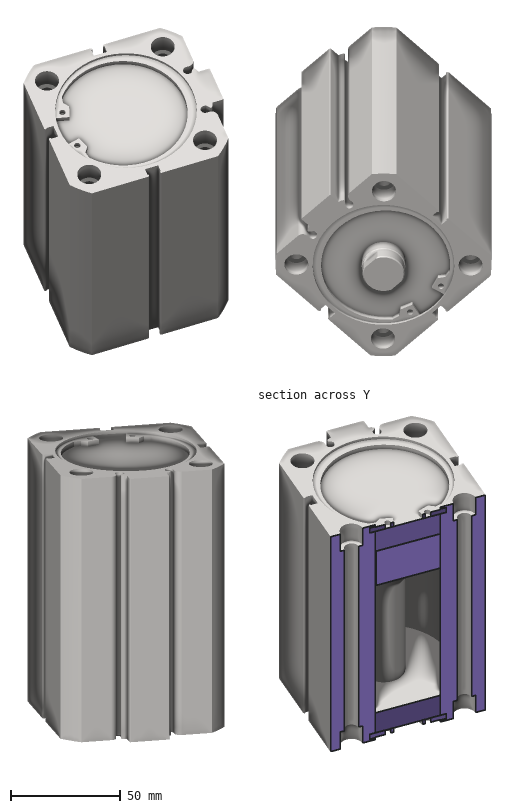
import cadquery as cq
import math


BODY_SIZE = 77.5
BODY_LENGTH = 126.0
CORNER_DIAMETER = 99.0
FACE = BODY_SIZE / 2
BORE_DIAMETER = 65.0

RAIL_WIDTH = 18.7
RAIL_HEIGHT = 5.5
RAIL_CHAMFER = 0.3

CHANNEL_RADIUS = 2.0
CHANNEL_X = 11.75
CHANNEL_DEPTH = 4.5
CHANNEL_EDGE_RADIUS = 3.0
LIP_SHOULDER = (10.6, 38.4)
LIP_NOSE_TOP = (11.5, 37.9)
LIP_NOSE_TIP = (11.85, 37.3)
LIP_NOSE_BOTTOM = (11.4, 36.6)
LIP_ROOT_Y = 35.4

SLOT_MOUTH = 5.3
SLOT_WIDTH = 6.4
SLOT_DEPTH = 4.5
SLOT_LIP = 1.0
SLOT_CHAMFER = 0.45

HOLE_PITCH = 56.5
HOLE_DIAMETER = 6.9
COUNTERBORE_DIAMETER = 11.0
COUNTERBORE_DEPTH = 10.0

GROOVE_DIAMETER = 68.0
RING_RECESS = 1.4
RING_THICKNESS = 2.5
RING_BOTTOMS = (RING_RECESS, BODY_LENGTH - RING_RECESS - RING_THICKNESS)
RING_INNER_RADIUS = 29.6
RING_INNER_OFFSET = 1.4
LUG_CORNER = (6.4, -25.3)
LUG_GAP_FOOT = (8.4, -33.3)
LUG_PEAK = (12.1, -23.3)
LUG_VALLEY = (15.0, -25.3)
LUG_BLEND = (18.4, -24.6)
LUG_HOLE = (9.95, -27.4)
LUG_HOLE_DIAMETER = 2.9

COVER_THICKNESS = 12.0
COVER_RECESS = RING_RECESS + RING_THICKNESS
PISTON_THICKNESS = 20.0
ROD_DIAMETER = 20.0
ROD_PROJECTION = 8.0
ROD_SHOULDER = 1.4
ROD_END_DIAMETER = 19.2
ROD_END_CHAMFER = 0.5
ROD_FLATS = 17.0
ROD_FLAT_TOP = 2.8


def extrude_polygon(points, height):
    return cq.Workplane("XY").polyline(points).close().extrude(height)


def disc(diameter, height, bottom=0.0):
    return cq.Workplane("XY").workplane(offset=bottom).circle(diameter / 2).extrude(height)


def mirror_x(points):
    return [(-x, y) for x, y in points]


def make_channel():
    """Undercut beside the rail, on the +X side."""
    center_y = FACE - CHANNEL_DEPTH
    inner_x = CHANNEL_X - CHANNEL_RADIUS
    outer_x = CHANNEL_X + CHANNEL_RADIUS
    edge_x = outer_x + CHANNEL_EDGE_RADIUS
    edge_y = FACE - CHANNEL_EDGE_RADIUS
    edge_diagonal = CHANNEL_EDGE_RADIUS * math.sqrt(0.5)
    return (
        cq.Workplane("XY")
        .moveTo(RAIL_WIDTH / 2, FACE)
        .lineTo(*LIP_SHOULDER)
        .lineTo(*LIP_NOSE_TOP)
        .threePointArc(LIP_NOSE_TIP, LIP_NOSE_BOTTOM)
        .lineTo(inner_x, LIP_ROOT_Y)
        .lineTo(inner_x, center_y)
        .threePointArc((CHANNEL_X, center_y - CHANNEL_RADIUS), (outer_x, center_y))
        .lineTo(outer_x, edge_y)
        .threePointArc((edge_x - edge_diagonal, edge_y + edge_diagonal), (edge_x, FACE))
        .close()
        .extrude(BODY_LENGTH)
    )


def make_slot():
    """Slot with a narrowed, chamfered mouth, cut into the +X face."""
    side = [
        (FACE, SLOT_MOUTH / 2 + SLOT_CHAMFER),
        (FACE - SLOT_CHAMFER, SLOT_MOUTH / 2),
        (FACE - SLOT_LIP, SLOT_MOUTH / 2),
        (FACE - SLOT_LIP, SLOT_WIDTH / 2),
        (FACE - SLOT_DEPTH, SLOT_WIDTH / 2),
    ]
    other_side = [(x, -y) for x, y in reversed(side)]
    return extrude_polygon(side + other_side, BODY_LENGTH)


def make_rail():
    rail = cq.Workplane("XY").box(RAIL_WIDTH, RAIL_HEIGHT, BODY_LENGTH, centered=(True, False, False))
    return rail.edges("|Z and >Y").chamfer(RAIL_CHAMFER).translate((0, FACE, 0))


def make_housing():
    body = cq.Workplane("XY").rect(BODY_SIZE, BODY_SIZE).extrude(BODY_LENGTH)
    body = body.intersect(disc(CORNER_DIAMETER, BODY_LENGTH))

    channel = make_channel()
    body = body.cut(channel).cut(channel.mirror("YZ")).union(make_rail())

    slot = make_slot()
    for angle in (0, 180, 270):
        body = body.cut(slot.rotate((0, 0, 0), (0, 0, 1), angle))

    body = body.cut(disc(BORE_DIAMETER, BODY_LENGTH))
    for groove_bottom in RING_BOTTOMS:
        body = body.cut(disc(GROOVE_DIAMETER, RING_THICKNESS, groove_bottom))

    holes = cq.Workplane("XY").rect(HOLE_PITCH, HOLE_PITCH, forConstruction=True).vertices()
    body = body.cut(holes.circle(HOLE_DIAMETER / 2).extrude(BODY_LENGTH))
    counterbores = holes.circle(COUNTERBORE_DIAMETER / 2).extrude(COUNTERBORE_DEPTH)
    body = body.cut(counterbores)
    return body.cut(counterbores.translate((0, 0, BODY_LENGTH - COUNTERBORE_DEPTH)))


def make_retaining_ring(bottom):
    blank = disc(GROOVE_DIAMETER, RING_THICKNESS)
    opening = disc(2 * RING_INNER_RADIUS, RING_THICKNESS).translate((0, -RING_INNER_OFFSET, 0))
    gap_side = [LUG_CORNER, LUG_GAP_FOOT]
    below_ring = -GROOVE_DIAMETER / 2 - 1
    gap_floor = [(LUG_GAP_FOOT[0], below_ring), (-LUG_GAP_FOOT[0], below_ring)]
    gap = extrude_polygon(gap_side + gap_floor + mirror_x(reversed(gap_side)), RING_THICKNESS)
    ring = blank.cut(opening)

    outer_corner = (LUG_BLEND[0], LUG_GAP_FOOT[1])
    lug_outline = [LUG_CORNER, LUG_PEAK, LUG_VALLEY, LUG_BLEND, outer_corner, LUG_GAP_FOOT]
    for outline in (lug_outline, mirror_x(lug_outline)):
        ring = ring.union(extrude_polygon(outline, RING_THICKNESS).intersect(blank))

    lug_holes = cq.Workplane("XY").pushPoints([LUG_HOLE] + mirror_x([LUG_HOLE]))
    ring = ring.cut(gap).cut(lug_holes.circle(LUG_HOLE_DIAMETER / 2).extrude(RING_THICKNESS))
    return ring.translate((0, 0, bottom))


def make_rear_cover():
    return disc(BORE_DIAMETER, COVER_THICKNESS, BODY_LENGTH - COVER_RECESS - COVER_THICKNESS)


def make_rod_cover():
    cover = disc(BORE_DIAMETER, COVER_THICKNESS, COVER_RECESS)
    return cover.cut(disc(ROD_DIAMETER, COVER_THICKNESS, COVER_RECESS))


def make_piston_rod():
    piston_top = BODY_LENGTH - COVER_RECESS - COVER_THICKNESS
    piston_bottom = piston_top - PISTON_THICKNESS
    rod_radius = ROD_DIAMETER / 2
    end_radius = ROD_END_DIAMETER / 2
    step = rod_radius - end_radius
    half_profile = [
        (0, -ROD_PROJECTION),
        (end_radius - ROD_END_CHAMFER, -ROD_PROJECTION),
        (end_radius, -ROD_PROJECTION + ROD_END_CHAMFER),
        (end_radius, -ROD_SHOULDER - step),
        (rod_radius, -ROD_SHOULDER),
        (rod_radius, piston_bottom),
        (BORE_DIAMETER / 2, piston_bottom),
        (BORE_DIAMETER / 2, piston_top),
        (0, piston_top),
    ]
    rod = cq.Workplane("YZ").polyline(mirror_x(half_profile)).close().revolve(360, (0, 0, 0), (0, 1, 0))

    flat = ROD_FLATS / 2
    flat_outline = [
        (flat, -ROD_PROJECTION),
        (flat, -ROD_FLAT_TOP),
        (flat + ROD_FLAT_TOP, 0),
        (flat + ROD_FLAT_TOP, -ROD_PROJECTION),
    ]
    for outline in (flat_outline, mirror_x(flat_outline)):
        rod = rod.cut(cq.Workplane("YZ").polyline(outline).close().extrude(rod_radius, both=True))
    return rod


housing = make_housing()
rear_cover = make_rear_cover()
rod_cover = make_rod_cover()
piston_rod = make_piston_rod()
retaining_rings = [make_retaining_ring(bottom) for bottom in RING_BOTTOMS]

result = cq.Compound.makeCompound([
    housing.val(),
    rear_cover.val(),
    rod_cover.val(),
    piston_rod.val(),
    *[ring.val() for ring in retaining_rings],
])